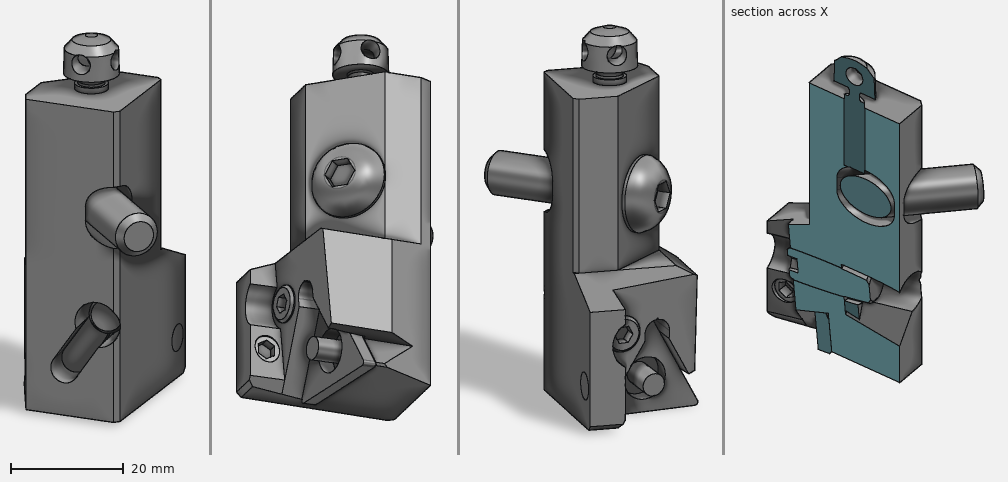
import cadquery as cq
import math


shank_height = 58.6
shank_depth = 20.0
shank_left = -18.9
head_left = -22.1
head_back = 30.0
front_left = -17.85
slant_angle = 25.0
edge_chamfer = 0.9
shoulder_z = 26.5
shoulder_angle = 24.2
rib_bottom_z = 7.1
notch_x = -19.85
notch_z = 6.1
toe_x = -22.95
toe_chamfer_width = 0.3
toe_chamfer_height = 0.5
slant = math.tan(math.radians(slant_angle))
shoulder_fall = math.tan(math.radians(shoulder_angle))

seat_slope_x = 0.156
seat_slope_z = 0.09
seat = cq.Plane(
    origin=(-24.68, 15.35, -0.88),
    xDir=(1, seat_slope_x, 0),
    normal=(seat_slope_x, -1, seat_slope_z),
)
through = 40.0

shim_side = 22.2
shim_thickness = 3.0
shim_nose_radius = 0.6
shim_chamfer_height = 0.45
shim_chamfer_width = 0.6
shim_hole_radius = 4.0
shim_centre = (shim_side / 2, shim_side / (2 * math.sqrt(3)))

pocket_depth = 4.25
relief_radius = 2.4
relief_top = 19.0
flange_wall_x = 20.2
flange_toe_y = 3.5
flange_toe_angle = 30.0

lever_end = (11.75, 8.05)
lever_width = 5.2
lever_arm_back = 7.0
lever_arm_front = 10.0
lever_gap = 0.9
lever_pin_radius = 2.1
lever_pin_top = -3.7
lever_screw_centre = (18.0, 17.15)
lever_screw_radius = 3.4
lever_screw_front = 12.9
lever_screw_projection = 0.75
lever_screw_chamfer = 0.5
lever_bore_radius = 4.2
lever_socket_width = 3.0
lever_socket_depth = 2.0
scallop_radius = 4.5

clamp_z = 38.6
clamp_radius = 4.0
clamp_tip = 10.2
clamp_tip_chamfer = 1.2
clamp_facet = 19.87
clamp_slot_radius = 4.45
clamp_slot_height = 11.6
clamp_head_radius = 7.0
clamp_head_height = 4.4
clamp_rim_height = 0.6
clamp_flat_radius = 3.0
clamp_dome_radius = 5.56
clamp_dome_height = 3.03
clamp_socket_width = 5.0
clamp_socket_depth = 2.5

axial_x = -9.5
axial_y = 10.0
axial_shank_radius = 3.0
axial_shank_length = 15.0
axial_collar_height = 1.05
axial_neck_radius = 2.3
axial_flare_width = 0.15
axial_flare_height = 0.4
axial_head_bottom = 2.9
axial_shoulder = 7.6
axial_dome = 9.2
axial_top = 10.03
axial_head_radius = 5.0
axial_shoulder_radius = 4.85
axial_dome_radius = 3.45
axial_tip_radius = 1.1
tommy_hole_radius = 1.8
tommy_hole_height = 6.0

set_screw_y = 26.5
set_screw_z = 7.5
set_screw_radius = 2.5
set_screw_left = -5.6
set_socket_width = 3.1
set_socket_depth = 2.0


def hex_diameter(width):
    """Diameter over the corners of a hexagon, from its width over the flats."""
    return width / math.cos(math.radians(30))


def seat_cylinder(centre, radius, z_start, z_end):
    """Cylinder across the tilted seat, between two local z levels."""
    plane = cq.Workplane(seat).workplane(offset=z_start)
    return plane.center(*centre).circle(radius).extrude(z_end - z_start)


def seat_prism(points, z_start, z_end):
    """Prism across the tilted seat, between two local z levels."""
    plane = cq.Workplane(seat).workplane(offset=z_start)
    return plane.polyline(points).close().extrude(z_end - z_start)


shim_corners = [
    (0, 0),
    (shim_side, 0),
    (shim_side / 2, shim_side * math.sqrt(3) / 2),
]


def make_shim():
    body = seat_prism(shim_corners, 0, shim_thickness)
    rounded = body.edges(cq.selectors.ParallelDirSelector(seat.zDir)).fillet(shim_nose_radius)
    chamfered = (
        rounded.faces(cq.selectors.DirectionMinMaxSelector(seat.zDir, True))
        .chamfer(shim_chamfer_height, shim_chamfer_width)
    )
    return chamfered.cut(seat_cylinder(shim_centre, shim_hole_radius, 0, shim_thickness))


def lever_arm(z_start, z_end):
    """Bar with a round end, running up to the axis of the lever screw."""
    end_x, end_y = lever_end
    run = lever_screw_centre[0] - end_x
    rise = lever_screw_centre[1] - end_y
    length = math.hypot(run, rise)
    plane = cq.Workplane(seat).workplane(offset=z_start).center(end_x, end_y)
    bar = (
        plane.transformed(rotate=(0, 0, math.degrees(math.atan2(rise, run))))
        .center(length / 2, 0)
        .rect(length, lever_width)
        .extrude(z_end - z_start)
    )
    return bar.union(seat_cylinder(lever_end, lever_width / 2, z_start, z_end))


def lever_taper():
    """Wedge between the right side of the arm and its slot, widest at the lever screw."""
    end_x, end_y = lever_end
    screw_x, screw_y = lever_screw_centre
    length = math.hypot(screw_x - end_x, screw_y - end_y)
    side_x = (screw_y - end_y) / length
    side_y = (end_x - screw_x) / length
    half = lever_width / 2
    return seat_prism(
        [
            (end_x + side_x * half, end_y + side_y * half),
            (screw_x + side_x * half, screw_y + side_y * half),
            (screw_x + side_x * (half - lever_gap), screw_y + side_y * (half - lever_gap)),
        ],
        lever_arm_back,
        lever_arm_front,
    )


def make_lever():
    arm = lever_arm(lever_arm_back, lever_arm_front).cut(lever_taper())
    arm = arm.cut(seat_cylinder(lever_screw_centre, lever_bore_radius, lever_arm_back, lever_arm_front))
    pin = seat_cylinder(shim_centre, lever_pin_radius, lever_pin_top, lever_arm_back)
    return arm.union(pin)


def make_lever_screw():
    top = -pocket_depth - lever_screw_projection
    body = seat_cylinder(lever_screw_centre, lever_screw_radius, top, lever_screw_front)
    body = body.edges("%CIRCLE").chamfer(lever_screw_chamfer)
    socket = (
        cq.Workplane(seat)
        .workplane(offset=top)
        .center(*lever_screw_centre)
        .polygon(6, hex_diameter(lever_socket_width))
        .extrude(lever_socket_depth)
    )
    return body.cut(socket)


clamp_plane = cq.Plane(origin=(0, 0, clamp_z), xDir=(0, 0, 1), normal=(-1, 1, 0))


def make_clamp_screw():
    rim = clamp_facet + clamp_rim_height
    top = clamp_facet + clamp_head_height
    profile_plane = cq.Plane(origin=clamp_plane.origin, xDir=(0, 0, 1), normal=(-1, -1, 0))
    body = (
        cq.Workplane(profile_plane)
        .moveTo(0, -clamp_tip)
        .lineTo(clamp_radius - clamp_tip_chamfer, -clamp_tip)
        .lineTo(clamp_radius, -clamp_tip + clamp_tip_chamfer)
        .lineTo(clamp_radius, clamp_facet)
        .lineTo(clamp_head_radius, clamp_facet)
        .lineTo(clamp_head_radius, rim)
        .threePointArc((clamp_dome_radius, clamp_facet + clamp_dome_height), (clamp_flat_radius, top))
        .lineTo(0, top)
        .close()
        .revolve(360, (0, 0, 0), (0, 1, 0))
    )
    socket = (
        cq.Workplane(clamp_plane)
        .workplane(offset=top)
        .transformed(rotate=(0, 0, 90))
        .polygon(6, hex_diameter(clamp_socket_width))
        .extrude(-clamp_socket_depth)
    )
    return body.cut(socket)


def make_axial_screw():
    flare_radius = axial_neck_radius + axial_flare_width
    body = (
        cq.Workplane("XZ", origin=(axial_x, axial_y, shank_height))
        .moveTo(0, -axial_shank_length)
        .lineTo(axial_shank_radius, -axial_shank_length)
        .lineTo(axial_shank_radius, axial_collar_height)
        .lineTo(flare_radius, axial_collar_height)
        .lineTo(axial_neck_radius, axial_collar_height + axial_flare_height)
        .lineTo(axial_neck_radius, axial_head_bottom - axial_flare_height)
        .lineTo(flare_radius, axial_head_bottom)
        .lineTo(axial_head_radius, axial_head_bottom)
        .lineTo(axial_shoulder_radius, axial_shoulder)
        .lineTo(axial_dome_radius, axial_dome)
        .lineTo(axial_tip_radius, axial_top)
        .lineTo(0, axial_top)
        .close()
        .revolve(360, (0, 0, 0), (0, 1, 0))
    )
    centre = (axial_x, axial_y, shank_height + tommy_hole_height)
    for direction in ("YZ", "XZ"):
        hole = cq.Workplane(direction, origin=centre).circle(tommy_hole_radius)
        body = body.cut(hole.extrude(axial_head_radius, both=True))
    return body


def set_screw_cylinder(left):
    plane = cq.Workplane("YZ", origin=(left, set_screw_y, set_screw_z))
    return plane.circle(set_screw_radius).extrude(-left)


def make_set_screw():
    socket = (
        cq.Workplane("YZ", origin=(set_screw_left, set_screw_y, set_screw_z))
        .transformed(rotate=(0, 0, 90))
        .polygon(6, hex_diameter(set_socket_width))
        .extrude(set_socket_depth)
    )
    return set_screw_cylinder(set_screw_left).cut(socket)


def shank_block():
    """Upright shank with the slanted left face and the diagonal facet for the clamp screw."""
    facet_offset = clamp_facet * math.sqrt(2)
    plane = cq.Workplane("XY", origin=(0, 0, shoulder_z))
    return (
        plane.polyline([
            (front_left, 0),
            (-edge_chamfer, 0),
            (0, edge_chamfer),
            (0, shank_depth - edge_chamfer),
            (-edge_chamfer, shank_depth),
            (shank_depth - facet_offset, shank_depth),
            (shank_left, shank_left + facet_offset),
            (shank_left, (front_left - shank_left) / slant),
        ])
        .close()
        .extrude(shank_height - shoulder_z)
    )


def head_block():
    """Head below the shoulder: plan outline crossed with the front and side outlines."""
    plan = (
        cq.Workplane("XY")
        .polyline([
            (front_left, 0),
            (-edge_chamfer, 0),
            (0, edge_chamfer),
            (0, head_back),
            (toe_x, head_back),
            (toe_x, (front_left - toe_x) / slant),
        ])
        .close()
        .extrude(shoulder_z)
    )
    front_outline = (
        cq.Workplane("XZ")
        .polyline([
            (0, 0),
            (toe_x + toe_chamfer_width, 0),
            (toe_x, toe_chamfer_height),
            (notch_x, notch_z),
            (head_left, rib_bottom_z),
            (head_left, shoulder_z - (shank_left - head_left) * shoulder_fall),
            (shank_left, shoulder_z),
            (0, shoulder_z),
        ])
        .close()
        .extrude(-head_back)
    )
    side_outline = (
        cq.Workplane("YZ")
        .polyline([
            (0, 0),
            (head_back - edge_chamfer, 0),
            (head_back, edge_chamfer),
            (head_back, shoulder_z - (head_back - shank_depth) * shoulder_fall),
            (shank_depth, shoulder_z),
            (0, shoulder_z),
        ])
        .close()
        .extrude(toe_x)
    )
    return plan.intersect(front_outline).intersect(side_outline)


def chip_space():
    """Everything behind the chip wall and left of the flange, which is cut back at its toe."""
    toe_run = (flange_toe_y + through) * math.tan(math.radians(flange_toe_angle))
    return seat_prism(
        [
            (-through, -through),
            (flange_wall_x + toe_run, -through),
            (flange_wall_x, flange_toe_y),
            (flange_wall_x, through),
            (-through, through),
        ],
        -pocket_depth - through,
        -pocket_depth,
    )


def pocket():
    """Three-cornered pocket that holds the shim, with a round relief in its upper corner."""
    walls = seat_prism(shim_corners, -pocket_depth, shim_thickness)
    centre = (shim_side / 2, relief_top - relief_radius)
    relief_bottom = shim_centre[1]
    relief = seat_cylinder(centre, relief_radius, -pocket_depth, shim_thickness)
    neck = seat_prism(
        [
            (centre[0] - relief_radius, relief_bottom),
            (centre[0] + relief_radius, relief_bottom),
            (centre[0] + relief_radius, centre[1]),
            (centre[0] - relief_radius, centre[1]),
        ],
        -pocket_depth,
        shim_thickness,
    )
    return walls.union(relief).union(neck)


def make_housing():
    body = shank_block().union(head_block())
    body = body.cut(chip_space()).cut(pocket())

    body = body.cut(lever_arm(lever_arm_back, through))
    body = body.cut(seat_cylinder(shim_centre, lever_pin_radius, shim_thickness, lever_arm_back))
    body = body.cut(seat_cylinder(lever_screw_centre, lever_bore_radius, lever_arm_back, through))
    body = body.cut(seat_cylinder(lever_screw_centre, lever_screw_radius, -pocket_depth, lever_arm_back))
    body = body.cut(seat_cylinder(lever_screw_centre, scallop_radius, -through, -pocket_depth))

    clamp_slot = cq.Workplane(clamp_plane).slot2D(clamp_slot_height, 2 * clamp_slot_radius)
    body = body.cut(clamp_slot.extrude(through, both=True))

    axial_hole = (
        cq.Workplane("XY", origin=(axial_x, axial_y, shank_height))
        .circle(axial_shank_radius)
        .extrude(-axial_shank_length)
    )
    return body.cut(axial_hole).cut(set_screw_cylinder(head_left))


housing = make_housing()
shim = make_shim()
lever = make_lever()
lever_screw = make_lever_screw()
clamp_screw = make_clamp_screw()
axial_screw = make_axial_screw()
set_screw = make_set_screw()

result = cq.Compound.makeCompound([
    housing.val(),
    shim.val(),
    lever.val(),
    lever_screw.val(),
    clamp_screw.val(),
    axial_screw.val(),
    set_screw.val(),
])